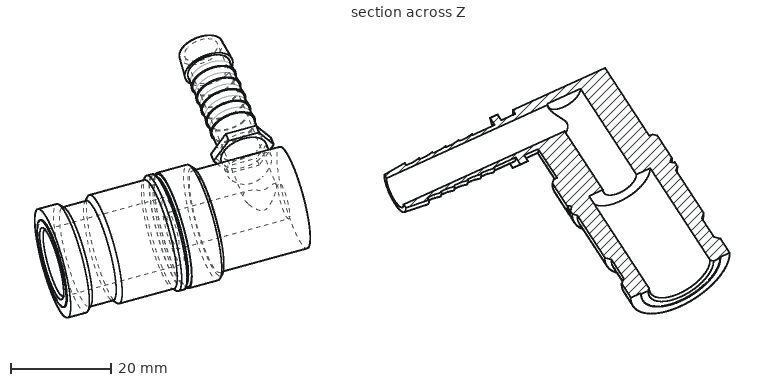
import cadquery as cq
import math


BARREL_RADIUS = 10.55
BODY_RADIUS = 11.3
COLLAR_RADIUS = 11.995
NECK_RADIUS = 10.35
BACK_Y = 5.9
COLLAR_BACK_Y = -12.6
COLLAR_FRONT_Y = -19.6
RING_BACK_Y = -20.6
RING_FRONT_Y = -22.45
GROOVE_RADIUS = 11.3
GROOVE_EDGE_RADIUS = 11.7
COLLAR_CHAMFER = COLLAR_RADIUS - BODY_RADIUS
NECK_BACK_Y = -35.0
NECK_FRONT_Y = -40.05
NECK_TAPER = BODY_RADIUS - NECK_RADIUS
FLANGE_FRONT_Y = -44.95
LIP_RADIUS = 9.05
LIP_HEIGHT = 0.2

BORE_RADIUS = 6.95
BORE_CHAMFER = 0.5
BORE_FLOOR_Y = COLLAR_FRONT_Y
PASSAGE_RADIUS = 3.8
PASSAGE_END_Y = PASSAGE_RADIUS

TAIL_LENGTH = 52.5 - COLLAR_RADIUS
TAIL_RADIUS = 4.45
TAIL_BORE_RADIUS = 3.5
TIP_LENGTH = 5.05
TIP_RADIUS = 4.55
TIP_BARB_RADIUS = 5.1
RIDGE_COUNT = 5
RIDGE_PITCH = 3.02
RIDGE_WIDTH = RIDGE_PITCH / 2
RIDGE_RADIUS = 4.7
ROOT_RADIUS = 4.85
HEX_FLATS = 11.0
HEX_THICKNESS = 1.8
HEX_INNER_X = -13.65


def revolve_along_y(points):
    """Solid of revolution about Y from (radius, y) points."""
    return cq.Workplane("XY").polyline(points).close().revolve(360, (0, 0), (0, 1))


def cylinder_along_x(radius, start, end):
    return cq.Workplane("YZ").workplane(offset=start).circle(radius).extrude(end - start)


def cone_along_x(start_radius, end_radius, start, end):
    return (
        cq.Workplane("XY")
        .polyline([(start, 0), (start, start_radius), (end, end_radius), (end, 0)])
        .close()
        .revolve(360, (0, 0), (1, 0))
    )


def make_barrel():
    lip_y = FLANGE_FRONT_Y - LIP_HEIGHT
    return revolve_along_y([
        (0, BACK_Y),
        (BARREL_RADIUS, BACK_Y),
        (BARREL_RADIUS, COLLAR_BACK_Y),
        (BODY_RADIUS, COLLAR_BACK_Y),
        (COLLAR_RADIUS, COLLAR_BACK_Y - COLLAR_CHAMFER),
        (COLLAR_RADIUS, COLLAR_FRONT_Y),
        (GROOVE_EDGE_RADIUS, COLLAR_FRONT_Y),
        (GROOVE_RADIUS, (COLLAR_FRONT_Y + RING_BACK_Y) / 2),
        (GROOVE_EDGE_RADIUS, RING_BACK_Y),
        (COLLAR_RADIUS, RING_BACK_Y),
        (COLLAR_RADIUS, RING_FRONT_Y + COLLAR_CHAMFER),
        (BODY_RADIUS, RING_FRONT_Y),
        (BODY_RADIUS, NECK_BACK_Y + NECK_TAPER),
        (NECK_RADIUS, NECK_BACK_Y),
        (NECK_RADIUS, NECK_FRONT_Y),
        (BODY_RADIUS, NECK_FRONT_Y - NECK_TAPER),
        (BODY_RADIUS, FLANGE_FRONT_Y),
        (LIP_RADIUS, FLANGE_FRONT_Y),
        (LIP_RADIUS, lip_y),
        (0, lip_y),
    ])


def make_barrel_bore():
    mouth_y = FLANGE_FRONT_Y - LIP_HEIGHT
    return revolve_along_y([
        (0, mouth_y),
        (BORE_RADIUS + BORE_CHAMFER, mouth_y),
        (BORE_RADIUS, mouth_y + BORE_CHAMFER),
        (BORE_RADIUS, BORE_FLOOR_Y),
        (PASSAGE_RADIUS, BORE_FLOOR_Y),
        (PASSAGE_RADIUS, PASSAGE_END_Y),
        (0, PASSAGE_END_Y),
    ])


def make_tail():
    tip_end_x = TIP_LENGTH - TAIL_LENGTH
    tail = cylinder_along_x(TAIL_RADIUS, tip_end_x, 0)
    tail = tail.union(cone_along_x(TIP_RADIUS, TIP_BARB_RADIUS, -TAIL_LENGTH, tip_end_x))
    for index in range(RIDGE_COUNT):
        start = tip_end_x + RIDGE_WIDTH + index * RIDGE_PITCH
        end = start + RIDGE_WIDTH
        tail = tail.union(cone_along_x(TAIL_RADIUS, RIDGE_RADIUS, start, end))
    tail = tail.union(cylinder_along_x(ROOT_RADIUS, HEX_INNER_X, 0))
    hex_corners = HEX_FLATS / math.cos(math.pi / 6)
    nut = (
        cq.Workplane("YZ")
        .workplane(offset=HEX_INNER_X - HEX_THICKNESS)
        .polygon(6, hex_corners)
        .extrude(HEX_THICKNESS)
    )
    return tail.union(nut)


result = (
    make_barrel()
    .union(make_tail())
    .cut(make_barrel_bore())
    .cut(cylinder_along_x(TAIL_BORE_RADIUS, -TAIL_LENGTH, 0))
)